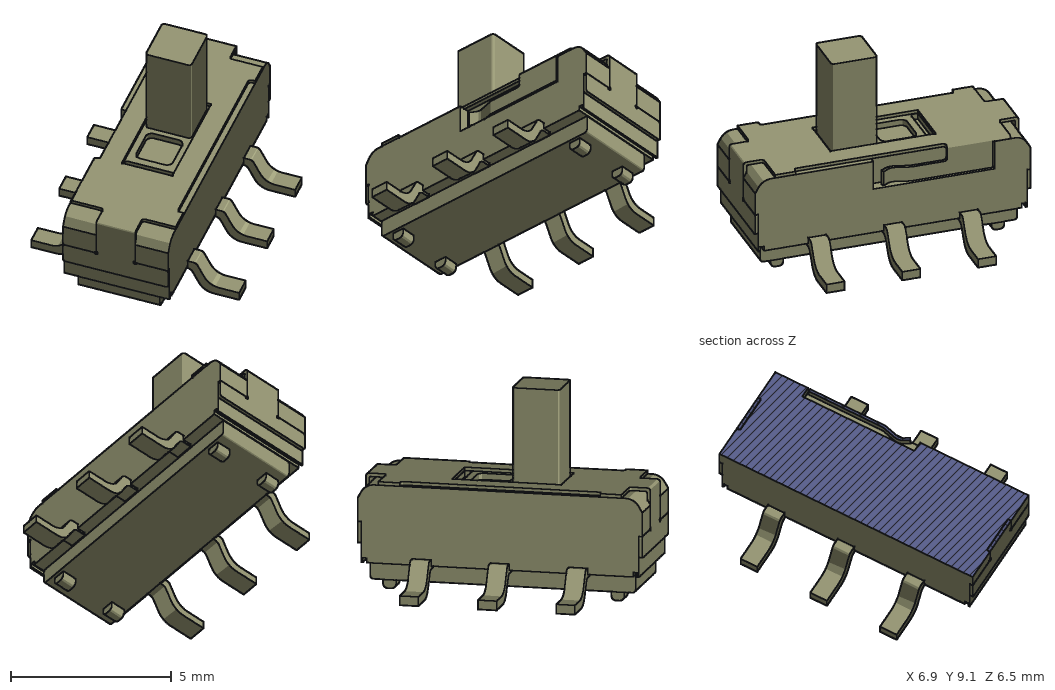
import cadquery as cq
import math


SHEET = 0.11
EDGE_ROUND = 0.1

LENGTH = 9.1
WIDTH = 3.49
HOUSING_BOTTOM = 0.9
COVER_TOP = 3.5
HOUSING_TOP = COVER_TOP - SHEET
SHOULDER_RADIUS = 0.48
SHOULDER_ANGLE = 60.0
BASE_LENGTH = 8.48
BASE_WIDTH = 2.71
BASE_BOTTOM = 0.3
END_LIP = 0.055
GROOVE_WIDTH = 0.13
GROOVE_DEPTH = 0.15
FOOT_LENGTH = 0.42
FOOT_WIDTH = 0.5
FOOT_ROUND = 0.155
FOOT_X = 1.0
FOOT_Y = 3.65

LEVER_SIZE = 1.51
LEVER_TOP = 6.5
LEVER_Y = 0.91
POCKET_DEPTH = 0.2
POCKET_SIZE = 1.21
POCKET_ROUND = 0.2
POCKET_Y = -0.64
END_POCKET_WIDTH = 1.63
END_POCKET_START = -1.49

WINDOW_WIDTH = 1.67
WINDOW_LENGTH = 3.485
STRAP_WIDTH = 1.29
PLATE_LENGTH = 7.77
STRAP_INNER_ROUND = 0.06
BEND_ROUND = 0.09
CROSSBAR_TOP = 2.2
CROSSBAR_BOTTOM = 1.51
CROSSBAR_ROUND = 0.07
RELIEF_RADIUS = 0.055
SIDE_CUT_DEPTH = 0.2
SIDE_CUT_END = 3.2
FLAP_FRONT = -3.3
FLAP_BACK = -1.79
TONGUE_TOP = 2.985
TONGUE_BOTTOM = 2.49
BUMP_START = -0.6
BUMP_PEAK = 0.02
TONGUE_TIP = 0.3
BUMP_DEPTH = 0.17
BEND_RADIUS = 0.3
RECESS_GAP = 0.06
RECESS_BACK = 0.65
RECESS_DEPTH = 0.355

TERMINAL_SPAN = 6.9
TERMINAL_INNER_X = 1.45
TERMINAL_WIDTH = 0.6
TERMINAL_THICKNESS = 0.3
TERMINAL_TOP = 1.1
TERMINAL_PITCH = 2.5
TERMINAL_SLOPE = 62.0
TERMINAL_KNEE_X = 2.03
KNEE_OUTER_RADIUS = 0.16
KNEE_INNER_RADIUS = 0.2
ANKLE_RADIUS = 0.57


def block(x_range, y_range, z_range):
    """Box between the given limits."""
    size = [high - low for low, high in (x_range, y_range, z_range)]
    corner = (x_range[0], y_range[0], z_range[0])
    return cq.Workplane("XY").box(*size, centered=False).translate(corner)


def centred_block(length_x, length_y, z_range, centre=(0, 0)):
    """Box centred on a point in X and Y."""
    x, y = centre
    x_range = (x - length_x / 2, x + length_x / 2)
    y_range = (y - length_y / 2, y + length_y / 2)
    return block(x_range, y_range, z_range)


def round_edge(body, point, radius):
    """Fillet the edge whose middle is nearest to the point."""
    return body.edges(cq.NearestToPointSelector(point)).fillet(radius)



def make_terminal():
    """Gull-wing terminal on the +X side, centred on Y = 0."""
    run_per_drop = 1 / math.tan(math.radians(TERMINAL_SLOPE))
    lower_shift = TERMINAL_THICKNESS * math.tan(math.radians(TERMINAL_SLOPE / 2))
    toe_x = TERMINAL_SPAN / 2
    upper_z = TERMINAL_TOP - TERMINAL_THICKNESS
    slope_run = upper_z * run_per_drop
    knee_outer = (TERMINAL_KNEE_X, TERMINAL_TOP)
    ankle_inner = (TERMINAL_KNEE_X + slope_run, TERMINAL_THICKNESS)
    ankle_outer = (ankle_inner[0] - lower_shift, 0)
    knee_inner = (TERMINAL_KNEE_X - lower_shift, upper_z)
    outline = [
        (TERMINAL_INNER_X, TERMINAL_TOP),
        knee_outer,
        ankle_inner,
        (toe_x, TERMINAL_THICKNESS),
        (toe_x, 0),
        ankle_outer,
        knee_inner,
        (TERMINAL_INNER_X, upper_z),
    ]
    terminal = cq.Workplane("XZ").polyline(outline).close().extrude(TERMINAL_WIDTH / 2, both=True)
    bends = [
        (knee_outer, KNEE_OUTER_RADIUS),
        (knee_inner, KNEE_INNER_RADIUS),
        (ankle_inner, ANKLE_RADIUS),
        (ankle_outer, ANKLE_RADIUS),
    ]
    for (x, z), radius in bends:
        terminal = round_edge(terminal, (x, 0, z), radius)
    return terminal


def make_terminals():
    """Three terminals on each long side."""
    terminals = []
    for turn in (0, 180):
        for row in (-1, 0, 1):
            terminal = make_terminal().rotate((0, 0, 0), (0, 0, 1), turn)
            terminals.append(terminal.translate((0, row * TERMINAL_PITCH, 0)))
    return terminals



def make_shell():
    """Main block with rounded shoulders, cut back at the ends for the cover and grooved underneath."""
    end = LENGTH / 2
    angle = math.radians(SHOULDER_ANGLE)
    slope_y = end - SHEET
    slope_z = HOUSING_TOP - SHOULDER_RADIUS * (1 - math.cos(angle))
    arc_start_y = slope_y - SHOULDER_RADIUS * math.sin(angle)
    arc_middle_y = arc_start_y + SHOULDER_RADIUS * math.sin(angle / 2)
    arc_middle_z = HOUSING_TOP - SHOULDER_RADIUS * (1 - math.cos(angle / 2))
    shoulder_z = slope_z - SHEET * math.tan(angle)
    shell = (
        cq.Workplane("YZ")
        .moveTo(-end, HOUSING_BOTTOM)
        .lineTo(end, HOUSING_BOTTOM)
        .lineTo(end, shoulder_z)
        .lineTo(slope_y, slope_z)
        .threePointArc((arc_middle_y, arc_middle_z), (arc_start_y, HOUSING_TOP))
        .lineTo(-arc_start_y, HOUSING_TOP)
        .threePointArc((-arc_middle_y, arc_middle_z), (-slope_y, slope_z))
        .lineTo(-end, shoulder_z)
        .close()
        .extrude(WIDTH / 2, both=True)
    )
    groove_top = HOUSING_BOTTOM + GROOVE_DEPTH
    for side in (-1, 1):
        strap_y = side * (end - SHEET / 2)
        groove_y = side * (end - SHEET - END_LIP - GROOVE_WIDTH / 2)
        below = centred_block(WIDTH, SHEET, (HOUSING_BOTTOM, CROSSBAR_TOP), (0, strap_y))
        strap = centred_block(STRAP_WIDTH, SHEET, (HOUSING_BOTTOM, HOUSING_TOP), (0, strap_y))
        groove = centred_block(WIDTH, GROOVE_WIDTH, (HOUSING_BOTTOM, groove_top), (0, groove_y))
        shell = shell.cut(below).cut(strap).cut(groove)
    return shell


def make_base():
    """Narrow block under the housing with four locating feet."""
    base = centred_block(BASE_WIDTH, BASE_LENGTH, (BASE_BOTTOM, HOUSING_BOTTOM))
    base = base.faces("<Z").edges("|X").fillet(EDGE_ROUND)
    for x in (-FOOT_X, FOOT_X):
        for y in (-FOOT_Y, FOOT_Y):
            foot = centred_block(FOOT_WIDTH, FOOT_LENGTH, (0, BASE_BOTTOM), (x, y))
            base = base.union(foot.faces("<Z").edges("|X").fillet(FOOT_ROUND))
    return base


def make_lever():
    """Square lever with rounded upright edges."""
    lever = centred_block(LEVER_SIZE, LEVER_SIZE, (HOUSING_TOP, LEVER_TOP), (0, LEVER_Y))
    return lever.edges("|Z").fillet(EDGE_ROUND)


def cut_top_pockets(housing):
    """Square pocket in front of the lever, and a wider one at the front end of the cover window."""
    depth_range = (HOUSING_TOP - POCKET_DEPTH, HOUSING_TOP)
    pocket = centred_block(POCKET_SIZE, POCKET_SIZE, depth_range, (0, POCKET_Y))
    pocket = pocket.edges("|Z").fillet(POCKET_ROUND)
    half = END_POCKET_WIDTH / 2
    end_pocket = block((-half, half), (-WINDOW_LENGTH / 2, END_POCKET_START), depth_range)
    end_pocket = end_pocket.faces(">Y").edges("|Z").fillet(EDGE_ROUND)
    return housing.cut(pocket).cut(end_pocket)


def make_housing(terminals):
    """Moulded body with lever, flap recess and a seat for each terminal."""
    housing = make_shell().union(make_base()).union(make_lever())
    housing = cut_top_pockets(housing)
    recess = block(
        (-WIDTH / 2, -WIDTH / 2 + RECESS_DEPTH),
        (FLAP_FRONT - RECESS_GAP, RECESS_BACK),
        (TONGUE_BOTTOM - RECESS_GAP, HOUSING_TOP),
    )
    housing = housing.cut(recess)
    for terminal in terminals:
        housing = housing.cut(terminal)
    return housing



def make_plate():
    """Top plate bent down at both ends, without its openings."""
    end = LENGTH / 2
    strap_range = (CROSSBAR_BOTTOM, COVER_TOP)
    plate = centred_block(STRAP_WIDTH, LENGTH, strap_range)
    plate = plate.edges(">Z and |X").fillet(EDGE_ROUND)
    hollow = centred_block(STRAP_WIDTH, LENGTH - 2 * SHEET, (CROSSBAR_BOTTOM, HOUSING_TOP))
    plate = plate.cut(hollow.edges(">Z and |X").fillet(STRAP_INNER_ROUND))
    plate = plate.union(centred_block(WIDTH, PLATE_LENGTH, (HOUSING_TOP, COVER_TOP)))
    for x in (-STRAP_WIDTH / 2, STRAP_WIDTH / 2):
        for y in (-PLATE_LENGTH / 2, PLATE_LENGTH / 2):
            plate = round_edge(plate, (x, y, COVER_TOP - SHEET / 2), EDGE_ROUND)
    for side in (-1, 1):
        crossbar_y = side * (end - SHEET / 2)
        crossbar = centred_block(WIDTH, SHEET, (CROSSBAR_BOTTOM, CROSSBAR_TOP), (0, crossbar_y))
        plate = plate.union(crossbar.edges("|Y").fillet(CROSSBAR_ROUND))
        for x in (-STRAP_WIDTH / 2, STRAP_WIDTH / 2):
            relief = cq.Workplane("XZ").center(x, CROSSBAR_TOP).circle(RELIEF_RADIUS)
            relief = relief.extrude(SHEET, both=True)
            plate = plate.cut(relief.translate((0, side * end, 0)))
    return plate


def cut_side(plate, side, front):
    """Long shallow cut in one long edge of the plate, with rounded inner corners."""
    centre_y = (front + SIDE_CUT_END) / 2
    cutter = centred_block(
        2 * SIDE_CUT_DEPTH, SIDE_CUT_END - front, (HOUSING_TOP, COVER_TOP), (side * WIDTH / 2, centre_y)
    )
    return plate.cut(cutter.edges("|Z").fillet(EDGE_ROUND))


def make_tongue():
    """Upright spring strip along the -X side, from the flap to its bent tip."""
    face_x = -WIDTH / 2
    lean_in = math.atan2(BUMP_DEPTH, BUMP_PEAK - BUMP_START)
    lean_out = -math.atan2(BUMP_DEPTH, TONGUE_TIP - BUMP_PEAK)

    def inner(x, y, lean_before, lean_after):
        """Point on the inner face across the sheet from a corner of the outer face."""
        middle = (lean_before + lean_after) / 2
        reach = SHEET / math.cos((lean_after - lean_before) / 2)
        return (x + reach * math.cos(middle), y - reach * math.sin(middle))

    peak_x = face_x + BUMP_DEPTH
    start = (face_x, BUMP_START)
    peak = (peak_x, BUMP_PEAK)
    tip = (face_x, TONGUE_TIP)
    start_inner = inner(*start, 0, lean_in)
    peak_inner = inner(*peak, lean_in, lean_out)
    tip_inner = inner(*tip, lean_out, lean_out)
    outline = [
        (face_x, FLAP_FRONT),
        start,
        peak,
        tip,
        tip_inner,
        peak_inner,
        start_inner,
        (face_x + SHEET, FLAP_FRONT),
    ]
    height = TONGUE_TOP - TONGUE_BOTTOM
    tongue = cq.Workplane("XY").workplane(offset=TONGUE_BOTTOM).polyline(outline).close().extrude(height)
    bends = [
        (start, BEND_RADIUS),
        (start_inner, BEND_RADIUS - SHEET),
        (peak, BEND_RADIUS),
        (peak_inner, BEND_RADIUS + SHEET),
    ]
    for (x, y), radius in bends:
        tongue = round_edge(tongue, (x, y, TONGUE_BOTTOM + height / 2), radius)
    return tongue


def make_cover():
    """Sheet-metal cover with lever window, side cuts and spring flap."""
    face_x = -WIDTH / 2
    cover = cut_side(make_plate(), -1, FLAP_BACK)
    cover = cut_side(cover, 1, -SIDE_CUT_END)
    cover = cover.cut(centred_block(WINDOW_WIDTH, WINDOW_LENGTH, (HOUSING_TOP, COVER_TOP)))
    flap = block((face_x, face_x + SHEET), (FLAP_FRONT, FLAP_BACK), (TONGUE_TOP, HOUSING_TOP))
    flap = make_tongue().union(flap)
    flap = round_edge(flap, (face_x + SHEET / 2, FLAP_BACK, TONGUE_TOP), EDGE_ROUND)
    cover = cover.union(flap)
    bend_y = (FLAP_BACK - PLATE_LENGTH / 2) / 2
    return round_edge(cover, (face_x, bend_y, COVER_TOP), BEND_ROUND)


terminals = make_terminals()
housing = make_housing(terminals)
cover = make_cover()
result = cq.Compound.makeCompound(
    [housing.val(), cover.val(), *[terminal.val() for terminal in terminals]]
)